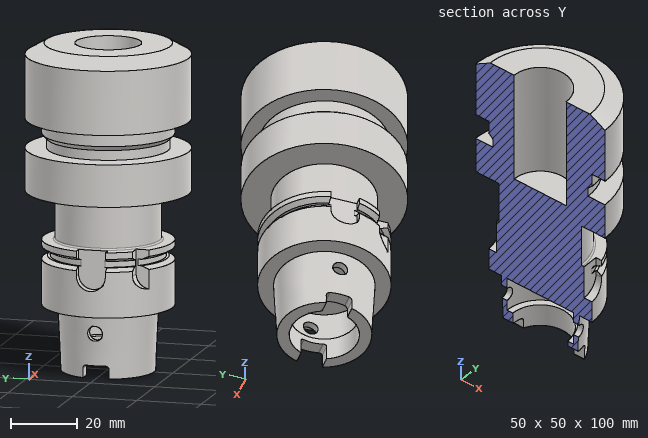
import cadquery as cq
import math

taper_length = 20.0
flange_top = 20.0
lower_collar_bottom = 35.0
lower_collar_top = 48.0
undercut_top = 51.0
nut_bottom = 57.0
nut_top = 80.0

taper_large_diameter = 30.4
taper_small_diameter = 28.5
flange_diameter = 40.0
shank_diameter = 32.0
collar_diameter = 50.0
undercut_diameter = 37.0
thread_relief_diameter = 40.0
nut_face_diameter = 38.5
nut_chamfer_angle = 30.0
bore_diameter = 20.0
bore_depth = 40.0
shank_foot_radius = 0.5

groove_mid_z = 16.0
groove_mouth_width = 4.0
groove_diameter = 34.8
groove_ledge_diameter = 36.5
groove_side_angle = 30.0

slot_width = 9.0
opposite_slot_width = 11.0
slot_floor_z = 8.0
slot_floor_x = 17.0
corner_notch_offset = 12.0

cavity_mouth_diameter = 21.0
cavity_mouth_depth = 8.0
cavity_diameter = 25.5
cavity_depth = 20.0
drive_notch_width = 8.05
drive_notch_corner_radius = 1.0
shallow_notch_height = 4.0
deep_notch_height = 6.0
cross_hole_diameter = 4.6
cross_hole_z = -6.0

cut_reach = collar_diameter


def turned_body():
    """Revolve the half profile about Z."""
    taper_large = taper_large_diameter / 2
    taper_small = taper_small_diameter / 2
    flange = flange_diameter / 2
    groove = groove_diameter / 2
    ledge = groove_ledge_diameter / 2
    groove_mouth_half = groove_mouth_width / 2
    groove_floor_half = groove_mouth_half - (flange - ledge) * math.tan(math.radians(groove_side_angle))
    shank = shank_diameter / 2
    collar = collar_diameter / 2
    undercut = undercut_diameter / 2
    relief = thread_relief_diameter / 2
    nut_face = nut_face_diameter / 2
    nut_chamfer = (collar - nut_face) * math.tan(math.radians(nut_chamfer_angle))
    profile = [
        (0, -taper_length),
        (taper_small, -taper_length),
        (taper_large, 0),
        (flange, 0),
        (flange, groove_mid_z - groove_mouth_half),
        (ledge, groove_mid_z - groove_floor_half),
        (groove, groove_mid_z - groove_floor_half),
        (groove, groove_mid_z + groove_floor_half),
        (ledge, groove_mid_z + groove_floor_half),
        (flange, groove_mid_z + groove_mouth_half),
        (flange, flange_top),
        (shank, flange_top),
        (shank, lower_collar_bottom),
        (collar, lower_collar_bottom),
        (collar, lower_collar_top),
        (undercut, lower_collar_top),
        (undercut, undercut_top),
        (relief, undercut_top + relief - undercut),
        (relief, nut_bottom),
        (collar, nut_bottom),
        (collar, nut_top - nut_chamfer),
        (nut_face, nut_top),
        (0, nut_top),
    ]
    return cq.Workplane("XZ").polyline(profile).close().revolve(360, (0, 0, 0), (0, 1, 0))


def shank_foot_fillet():
    """Concave ring filling the corner between the flange top and the shank."""
    inner = shank_diameter / 2
    outer = inner + shank_foot_radius
    top = flange_top + shank_foot_radius
    mid = shank_foot_radius * (1 - math.sqrt(0.5))
    return (
        cq.Workplane("XZ")
        .moveTo(inner, flange_top)
        .lineTo(outer, flange_top)
        .threePointArc((inner + mid, flange_top + mid), (inner, top))
        .close()
        .revolve(360, (0, 0, 0), (0, 1, 0))
    )


def shank_cavity():
    """Blind hollow of the taper: a narrower mouth at the small end, widened behind it."""
    wide_depth = cavity_depth - cavity_mouth_depth
    return (
        cq.Workplane("XY", origin=(0, 0, -taper_length))
        .circle(cavity_mouth_diameter / 2)
        .extrude(cavity_mouth_depth)
        .faces(">Z")
        .workplane()
        .circle(cavity_diameter / 2)
        .extrude(wide_depth)
    )


def collet_bore():
    """Blind bore from the top face."""
    return cq.Workplane("XY", origin=(0, 0, nut_top - bore_depth)).circle(bore_diameter / 2).extrude(bore_depth)


def round_ended_slot(width, center_y, floor_distance):
    """Slot on the -X side: flat floor at -floor_distance, open outwards, upright and round at its lower end."""
    radius = width / 2
    arc_z = slot_floor_z + radius
    return (
        cq.Workplane("YZ", origin=(-floor_distance, 0, 0))
        .moveTo(center_y - radius, flange_top + shank_foot_radius)
        .lineTo(center_y - radius, arc_z)
        .threePointArc((center_y, slot_floor_z), (center_y + radius, arc_z))
        .lineTo(center_y + radius, flange_top + shank_foot_radius)
        .close()
        .extrude(-cut_reach)
    )


def flange_slots():
    """Opposed slots on -X and +X, and a notch in the -X -Y corner."""
    slot = round_ended_slot(slot_width, 0, slot_floor_x)
    opposite_slot = round_ended_slot(opposite_slot_width, 0, slot_floor_x).rotate((0, 0, 0), (0, 0, 1), 180)
    corner_notch = round_ended_slot(slot_width, -corner_notch_offset - slot_width / 2, corner_notch_offset)
    return slot.union(opposite_slot).union(corner_notch)


def drive_notch(height, side):
    """Notch in the taper end, from the axis out to the given X side (-1 or 1)."""
    depth = taper_large_diameter / 2
    return (
        cq.Workplane("XY", origin=(side * depth / 2, 0, -taper_length))
        .box(depth, drive_notch_width, height, centered=(True, True, False))
        .edges("|X and >Z")
        .fillet(drive_notch_corner_radius)
    )


def cross_hole():
    """Hole along X through the taper."""
    return (
        cq.Workplane("YZ", origin=(-cut_reach / 2, 0, cross_hole_z))
        .circle(cross_hole_diameter / 2)
        .extrude(cut_reach)
    )


result = (
    turned_body()
    .union(shank_foot_fillet())
    .cut(shank_cavity())
    .cut(collet_bore())
    .cut(flange_slots())
    .cut(drive_notch(shallow_notch_height, -1))
    .cut(drive_notch(deep_notch_height, 1))
    .cut(cross_hole())
)